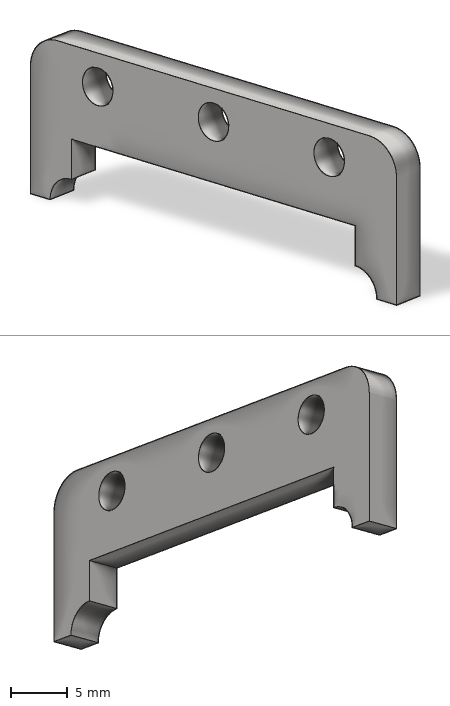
import cadquery as cq

length = 42.65
thickness = 3.15
height = 15.1
corner_radius = 3.15

leg_width = 4.82
leg_height = 6.27
opening_width = length - 2 * leg_width

relief_radius = 2.5

hole_diameter = 3.55
hole_spacing = 13.5
hole_drop = 3.15
hole_z = height - hole_drop


def cylinder_along_y(x, z, radius):
    """Cylinder through the plate thickness, centred at (x, z)."""
    return (
        cq.Workplane("XZ", origin=(0, thickness / 2, 0))
        .center(x, z)
        .circle(radius)
        .extrude(thickness)
    )


plate = (
    cq.Workplane("XY")
    .box(length, thickness, height, centered=(True, True, False))
    .edges("|Y and >Z")
    .fillet(corner_radius)
)

opening = cq.Workplane("XY").box(opening_width, thickness, leg_height, centered=(True, True, False))
result = plate.cut(opening)

for side in (-1, 1):
    result = result.cut(cylinder_along_y(side * opening_width / 2, 0, relief_radius))

for step in (-1, 0, 1):
    result = result.cut(cylinder_along_y(step * hole_spacing, hole_z, hole_diameter / 2))